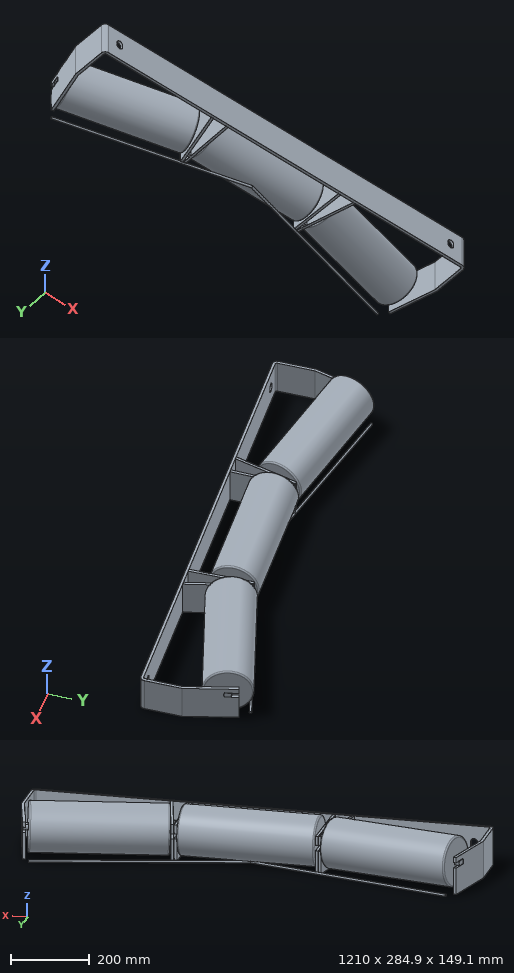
import cadquery as cq
import math

frame_length = 1210.0
frame_height = 100.0
frame_thickness = 8.0
corner_radius = 13.0
end_bend_y = 113.4
end_leg_length = 144.5
roller_angle = 15.0
mount_slot_x = 554.0
mount_slot_z = 52.0
mount_slot_width = 18.0
mount_slot_height = 26.0

roller_radius = 66.5
roller_length = 360.0
roller_edge_radius = 4.0
shaft_radius = 10.5
shaft_flat_height = 14.0
shaft_inner_stub = 9.5
shaft_outer_stub = 14.0
center_roller_y = 125.5
center_roller_z = 68.4
side_roller_x = 386.5
side_roller_y = 175.0
side_roller_z = 72.9
side_roller_lift = 1.7

bracket_thickness = 7.2
center_bracket_x = 188.2
center_bracket_lean = 1.0
center_bracket_length = 173.0
side_bracket_x = 237.4
side_bracket_lean = 14.4
side_bracket_length = 178.0
web_y = 151.0
web_thickness = 7.2

rod_radius = 3.3
rod_center_y = 131.0
rod_center_z = -1.25
rod_end_x = 546.0
rod_lift = 0.65

slot_cut_depth = 40.0
slot_cut_reach = 100.0

SIDES = (-1, 1)
center_axis = cq.Vector(1, 0, 0)
center_roller_point = cq.Vector(0, center_roller_y, center_roller_z)


def cross_plane(center, axis):
    """Plane through center and square to axis, with a level local X."""
    return cq.Plane(origin=center, xDir=cq.Vector(0, 0, 1).cross(axis), normal=axis)


def flatted_shaft(start, axis, length):
    """Round shaft with a flat on its top and bottom, running from start along axis."""
    plane = cross_plane(start, axis)
    round_bar = cq.Workplane(plane).circle(shaft_radius).extrude(length)
    flat_bar = cq.Workplane(plane).rect(2 * shaft_radius, shaft_flat_height).extrude(length)
    return round_bar.intersect(flat_bar)


def shaft_slot(center, axis):
    """Slot that fits the shaft around center and opens towards +Y."""
    start = center - axis * (slot_cut_depth / 2)
    plane = cross_plane(start, axis)
    toward_y = math.copysign(1, plane.xDir.y)
    mouth = (
        cq.Workplane(plane)
        .center(toward_y * slot_cut_reach / 2, 0)
        .rect(slot_cut_reach, shaft_flat_height)
        .extrude(slot_cut_depth)
    )
    return mouth.union(flatted_shaft(start, axis, slot_cut_depth))


def roller(center, axis, start_stub, end_stub):
    """Cylinder with rounded rims, and the shaft ends that stick out of it along axis."""
    start = center - axis * (roller_length / 2)
    shell = cq.Workplane(cross_plane(start, axis)).circle(roller_radius).extrude(roller_length)
    shell = shell.edges("%CIRCLE").fillet(roller_edge_radius)
    shaft_length = start_stub + roller_length + end_stub
    return shell.union(flatted_shaft(start - axis * start_stub, axis, shaft_length))


def side_axis(side):
    """Unit vector pointing outwards along a side roller, turned towards +Y and lifted towards +Z."""
    turn = math.radians(roller_angle)
    lift = math.radians(side_roller_lift)
    flat = math.cos(lift)
    return cq.Vector(side * flat * math.cos(turn), flat * math.sin(turn), math.sin(lift))


def side_center(side):
    """Middle of a side roller."""
    return cq.Vector(side * side_roller_x, side_roller_y, side_roller_z)


def center_roller():
    return roller(center_roller_point, center_axis, shaft_inner_stub, shaft_inner_stub)


def side_roller(side):
    return roller(side_center(side), side_axis(side), shaft_inner_stub, shaft_outer_stub)


def side_shaft_slot(side, distance):
    """Slot for a side shaft, at a distance along its axis from the roller's middle."""
    return shaft_slot(side_center(side) + side_axis(side) * distance, side_axis(side))


def frame_outline():
    """Closed outline of the bent bar, seen along Z, with sharp corners."""
    lean = math.radians(roller_angle)
    outer_x = frame_length / 2
    tip_x = outer_x - end_leg_length * math.sin(lean)
    tip_y = end_bend_y + end_leg_length * math.cos(lean)
    inner_x = outer_x - frame_thickness
    inner_bend_y = end_bend_y - frame_thickness * math.tan(lean / 2)
    inner_tip_x = tip_x - frame_thickness * math.cos(lean)
    inner_tip_y = tip_y - frame_thickness * math.sin(lean)
    right_half = [
        (outer_x, 0),
        (outer_x, end_bend_y),
        (tip_x, tip_y),
        (inner_tip_x, inner_tip_y),
        (inner_x, inner_bend_y),
        (inner_x, frame_thickness),
    ]
    left_half = [(-x, y) for x, y in reversed(right_half)]
    return right_half + left_half


def frame():
    body = cq.Workplane("XY").polyline(frame_outline()).close().extrude(frame_height)

    inner_x = frame_length / 2 - frame_thickness
    mid_height = frame_height / 2
    inner_corners = [(side * inner_x, frame_thickness, mid_height) for side in SIDES]
    body = body.edges("|Z and <Y").fillet(corner_radius)
    for corner in inner_corners:
        nearest = cq.selectors.NearestToPointSelector(corner)
        body = body.edges(nearest).fillet(corner_radius - frame_thickness)

    mount_slots = (
        cq.Workplane("XZ")
        .pushPoints([(side * mount_slot_x, mount_slot_z) for side in SIDES])
        .slot2D(mount_slot_height, mount_slot_width, 90)
        .extrude(-frame_thickness)
    )
    body = body.cut(mount_slots)
    for side in SIDES:
        body = body.cut(side_shaft_slot(side, roller_length / 2 + shaft_outer_stub))
    return body


def tie_rod():
    """Round bar in two straight legs, each following the turn of its side roller."""
    slope = math.tan(math.radians(roller_angle))
    rise = math.tan(math.radians(rod_lift))
    center = cq.Vector(0, rod_center_y, rod_center_z)
    ends = [center + cq.Vector(side * rod_end_x, rod_end_x * slope, rod_end_x * rise) for side in SIDES]
    path = cq.Wire.makePolygon([ends[0], center, ends[1]])
    plane = cross_plane(ends[0], center - ends[0])
    return cq.Workplane(plane).circle(rod_radius).sweep(cq.Workplane(path), transition="right")


def face_x(base_x, lean, offset, y):
    """Distance from the YZ plane, at y, of a line parallel to a leaning plate and offset outwards."""
    lean_rad = math.radians(lean)
    return base_x + offset / math.cos(lean_rad) - (y - frame_thickness) * math.tan(lean_rad)


def leaning_plate(side, base_x, lean, length):
    """Upright plate on the back of the frame, its free end leaning towards the middle."""
    lean_rad = math.radians(lean)
    half = bracket_thickness / 2
    tip_y = frame_thickness + length * math.cos(lean_rad)
    outer_tip_y = tip_y + half * math.sin(lean_rad)
    inner_tip_y = tip_y - half * math.sin(lean_rad)
    outline = [
        (side * face_x(base_x, lean, -half, frame_thickness), frame_thickness),
        (side * face_x(base_x, lean, half, frame_thickness), frame_thickness),
        (side * face_x(base_x, lean, half, outer_tip_y), outer_tip_y),
        (side * face_x(base_x, lean, -half, inner_tip_y), inner_tip_y),
    ]
    return cq.Workplane("XY").polyline(outline).close().extrude(frame_height)


def web(side):
    """Short upright web that bridges the gap from the center bracket to the side bracket."""
    half = bracket_thickness / 2
    front = web_y - web_thickness / 2
    back = web_y + web_thickness / 2
    outline = [
        (side * face_x(center_bracket_x, center_bracket_lean, half, front), front),
        (side * face_x(side_bracket_x, side_bracket_lean, -half, front), front),
        (side * face_x(side_bracket_x, side_bracket_lean, -half, back), back),
        (side * face_x(center_bracket_x, center_bracket_lean, half, back), back),
    ]
    return cq.Workplane("XY").polyline(outline).close().extrude(frame_height)


def center_bracket(side, rod):
    """Slotted plate beside the center roller, with its web, notched for the tie rod."""
    plate = leaning_plate(side, center_bracket_x, center_bracket_lean, center_bracket_length)
    slot_center = center_roller_point + center_axis * (side * center_bracket_x)
    return plate.cut(shaft_slot(slot_center, center_axis)).union(web(side)).cut(rod)


def side_bracket(side, rod):
    """Slotted plate at the inner end of a side roller, notched for the tie rod."""
    plate = leaning_plate(side, side_bracket_x, side_bracket_lean, side_bracket_length)
    return plate.cut(side_shaft_slot(side, -roller_length / 2 - shaft_inner_stub)).cut(rod)


rod = tie_rod()
bodies = [frame(), rod, center_roller()]
for side in SIDES:
    bodies.append(side_roller(side))
    bodies.append(center_bracket(side, rod))
    bodies.append(side_bracket(side, rod))
result = cq.Compound.makeCompound([body.val() for body in bodies])